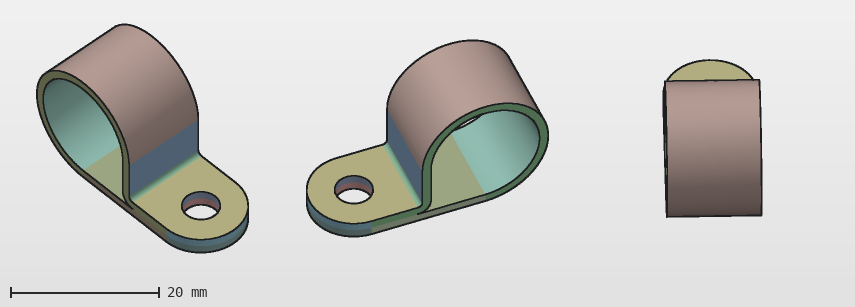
import cadquery as cq
import math

STRAP_WIDTH = 12.7
STRAP_THICKNESS = 1.27
LOOP_INNER_RADIUS = 7.875
OVERALL_LENGTH = 32.0
BEND_INNER_RADIUS = 0.635
HOLE_DIAMETER = 5.16

LOOP_OUTER_RADIUS = LOOP_INNER_RADIUS + STRAP_THICKNESS
BEND_OUTER_RADIUS = BEND_INNER_RADIUS + STRAP_THICKNESS
TAB_END_RADIUS = STRAP_WIDTH / 2
TAB_END_X = OVERALL_LENGTH - LOOP_OUTER_RADIUS
HOLE_X = TAB_END_X - TAB_END_RADIUS
BOTTOM_Z = -LOOP_OUTER_RADIUS
TAB_JOINT_Z = BOTTOM_Z + STRAP_THICKNESS
TAB_TOP_Z = TAB_JOINT_Z + STRAP_THICKNESS
BEND_X = LOOP_OUTER_RADIUS + BEND_INNER_RADIUS
BEND_Z = TAB_TOP_Z + BEND_INNER_RADIUS


def bend_midpoint(radius):
    """Middle of the quarter bend arc of the given radius."""
    offset = radius * math.sqrt(0.5)
    return BEND_X - offset, BEND_Z - offset


def loop_midpoint(radius):
    """Middle of the three-quarter loop arc of the given radius."""
    offset = radius * math.sqrt(0.5)
    return -offset, offset


def extrude_across_width(profile):
    return profile.close().extrude(STRAP_WIDTH / 2, both=True)


def make_upper_strap():
    """Loop from its lowest point over the top, down the wall and out along the upper tab."""
    profile = (
        cq.Workplane("XZ")
        .moveTo(0, BOTTOM_Z)
        .threePointArc(loop_midpoint(LOOP_OUTER_RADIUS), (LOOP_OUTER_RADIUS, 0))
        .lineTo(LOOP_OUTER_RADIUS, BEND_Z)
        .threePointArc(bend_midpoint(BEND_INNER_RADIUS), (BEND_X, TAB_TOP_Z))
        .lineTo(TAB_END_X, TAB_TOP_Z)
        .lineTo(TAB_END_X, TAB_JOINT_Z)
        .lineTo(BEND_X, TAB_JOINT_Z)
        .threePointArc(bend_midpoint(BEND_OUTER_RADIUS), (LOOP_INNER_RADIUS, BEND_Z))
        .lineTo(LOOP_INNER_RADIUS, 0)
        .threePointArc(loop_midpoint(LOOP_INNER_RADIUS), (0, TAB_JOINT_Z))
    )
    return extrude_across_width(profile)


def make_lower_strap():
    """Flat strap from the lowest point of the loop out along the lower tab."""
    profile = (
        cq.Workplane("XZ")
        .moveTo(0, BOTTOM_Z)
        .lineTo(TAB_END_X, BOTTOM_Z)
        .lineTo(TAB_END_X, TAB_JOINT_Z)
        .lineTo(0, TAB_JOINT_Z)
    )
    return extrude_across_width(profile)


def make_plan_outline():
    """Full-height block with the rounded tab end and the screw hole through it."""
    height = 2 * LOOP_OUTER_RADIUS
    base = cq.Workplane("XY").workplane(offset=BOTTOM_Z)
    body_length = HOLE_X + LOOP_OUTER_RADIUS
    body = (
        base.center(-LOOP_OUTER_RADIUS, 0)
        .rect(body_length, STRAP_WIDTH, centered=(False, True))
        .extrude(height)
    )
    tab_end = base.center(HOLE_X, 0).circle(TAB_END_RADIUS).extrude(height)
    hole = base.center(HOLE_X, 0).circle(HOLE_DIAMETER / 2).extrude(height)
    return body.union(tab_end).cut(hole)


plan_outline = make_plan_outline()
upper_strap = make_upper_strap().intersect(plan_outline)
lower_strap = make_lower_strap().intersect(plan_outline)

result = upper_strap.union(lower_strap, clean=False)